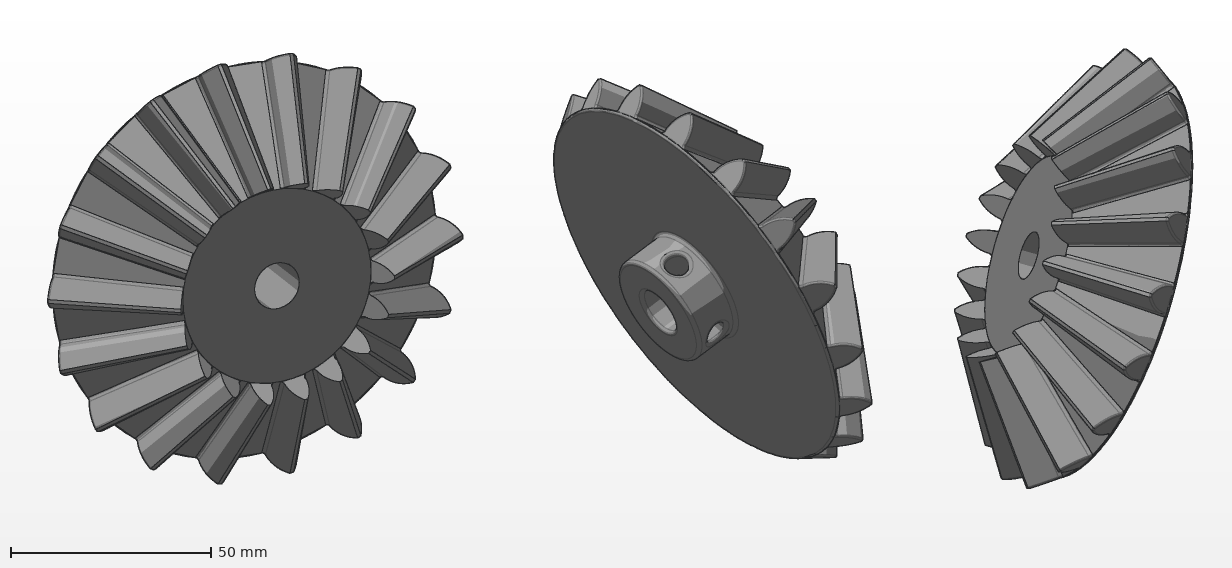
import cadquery as cq
import math

FULL_TURN = 360
HALF_ARC = math.sqrt(0.5)

HUB_RADIUS = 15.0
HUB_LENGTH = 12.5
HUB_FILLET = 1.0
BORE_RADIUS = 6.1
BORE_FILLET = 0.95
RIM_RADIUS = 52.4
RIM_THICKNESS = 0.8
RIM_FILLET = 0.6
RIM_FRONT = HUB_LENGTH + RIM_THICKNESS
CORE_END = 33.3
CORE_END_RADIUS = 25.7

SCREW_RADIUS = 3.0
SCREW_MOUTH_FILLET = 1.0
SCREW_X = HUB_LENGTH / 2
SCREW_ANGLES = (90, 180)

TOOTH_COUNT = 18
OUTER_CREST = (20.1, 56.93)
OUTER_ROOT = (RIM_FRONT, RIM_RADIUS)
INNER_CREST = (39.93, 29.2)
INNER_ROOT = (CORE_END, CORE_END_RADIUS)
OUTER_HALF_WIDTHS = (0.5, 3.85)
INNER_HALF_WIDTHS = (0.45, 2.85)
ROOT_FILLET = 1.0
ROOT_SINK = 0.2
TOOTH_EMBED = 0.6
BACK_EDGE_FILLET = 0.5


def make_core():
    """Hub, rim disc and root cone, turned about the X axis with rounded edges."""
    hub_bulge = HUB_FILLET * (1 - HALF_ARC)
    rim_bulge = RIM_FILLET * (1 - HALF_ARC)
    bore_bulge = BORE_FILLET * (1 - HALF_ARC)
    outline = (
        cq.Workplane("XY")
        .moveTo(BORE_FILLET, BORE_RADIUS)
        .threePointArc((bore_bulge, BORE_RADIUS + bore_bulge), (0, BORE_RADIUS + BORE_FILLET))
        .lineTo(0, HUB_RADIUS - HUB_FILLET)
        .threePointArc((hub_bulge, HUB_RADIUS - hub_bulge), (HUB_FILLET, HUB_RADIUS))
        .lineTo(HUB_LENGTH - HUB_FILLET, HUB_RADIUS)
        .threePointArc(
            (HUB_LENGTH - hub_bulge, HUB_RADIUS + hub_bulge),
            (HUB_LENGTH, HUB_RADIUS + HUB_FILLET),
        )
        .lineTo(HUB_LENGTH, RIM_RADIUS - RIM_FILLET)
        .threePointArc(
            (HUB_LENGTH + rim_bulge, RIM_RADIUS - rim_bulge),
            (HUB_LENGTH + RIM_FILLET, RIM_RADIUS),
        )
        .lineTo(RIM_FRONT, RIM_RADIUS)
        .lineTo(CORE_END, CORE_END_RADIUS)
        .lineTo(CORE_END, BORE_RADIUS)
        .close()
    )
    return outline.revolve(FULL_TURN, (0, 0, 0), (1, 0, 0))


def tooth_profile(crest, root, half_widths):
    """Closed outline of one tooth end; local X runs across the tooth, local Y from crest to root."""
    run = root[0] - crest[0]
    drop = root[1] - crest[1]
    depth = math.hypot(run, drop) + ROOT_SINK
    plane = cq.Plane(origin=(*crest, 0), xDir=(0, 0, 1), normal=(-drop, run, 0))
    tip, base = half_widths
    flank_depth = depth - ROOT_FILLET
    flank_radius = (flank_depth**2 + (base - tip) ** 2) / (2 * (base - tip))
    flank_middle = base - flank_radius + math.sqrt(flank_radius**2 - (flank_depth / 2) ** 2)
    foot = base + ROOT_FILLET
    fillet_side = foot - ROOT_FILLET * HALF_ARC
    fillet_depth = flank_depth + ROOT_FILLET * HALF_ARC
    outline = (
        cq.Workplane(plane)
        .moveTo(-tip, 0)
        .lineTo(tip, 0)
        .threePointArc((flank_middle, flank_depth / 2), (base, flank_depth))
        .threePointArc((fillet_side, fillet_depth), (foot, depth))
        .lineTo(foot, depth + TOOTH_EMBED)
        .lineTo(-foot, depth + TOOTH_EMBED)
        .lineTo(-foot, depth)
        .threePointArc((-fillet_side, fillet_depth), (-base, flank_depth))
        .threePointArc((-flank_middle, flank_depth / 2), (-tip, 0))
        .close()
    )
    return outline.val()


def make_tooth():
    """One tooth on the +Y side, lofted between its two end outlines."""
    outer = tooth_profile(OUTER_CREST, OUTER_ROOT, OUTER_HALF_WIDTHS)
    inner = tooth_profile(INNER_CREST, INNER_ROOT, INNER_HALF_WIDTHS)
    tooth = cq.Workplane(cq.Solid.makeLoft([outer, inner], True))
    return tooth.faces("<X").edges("not <Y").fillet(BACK_EDGE_FILLET)


def around_axis(shape, angle):
    """The shape turned about the gear axis, in degrees from +Y towards +Z."""
    return shape.rotate((0, 0, 0), (1, 0, 0), angle)


def drill_screw_holes(core):
    """Radial holes from the hub surface into the bore, with rounded mouths."""
    drill = cq.Workplane("XZ", origin=(SCREW_X, 0, 0)).circle(SCREW_RADIUS).extrude(-HUB_RADIUS)
    mouth_centre = cq.Vertex.makeVertex(SCREW_X, HUB_RADIUS, 0)
    for angle in SCREW_ANGLES:
        core = core.cut(around_axis(drill, angle))
        mouth = around_axis(mouth_centre, angle)
        core = core.edges(cq.NearestToPointSelector(mouth.toTuple())).fillet(SCREW_MOUTH_FILLET)
    return core


gear = drill_screw_holes(make_core())
tooth = make_tooth()
for index in range(TOOTH_COUNT):
    gear = gear.union(around_axis(tooth, index * FULL_TURN / TOOTH_COUNT))

result = gear